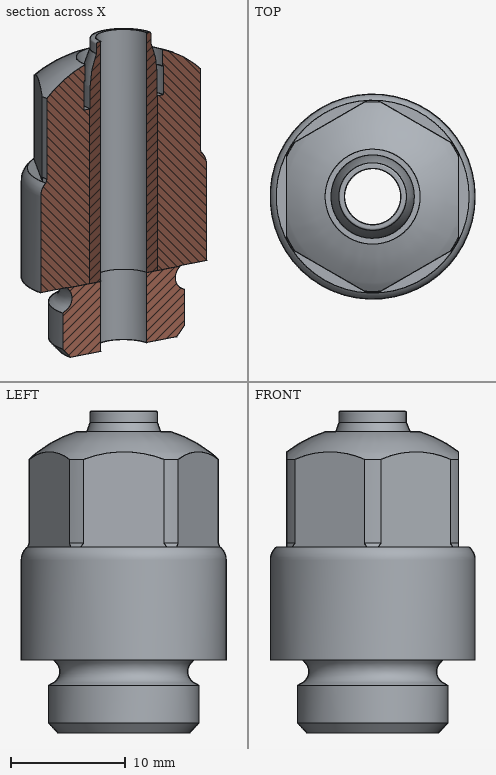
import cadquery as cq
import math


total_height = 28.1
bore_diameter = 4.9
insert_diameter = 7.28
nut_bottom_z = 6.38

plug_diameter = 13.15
plug_base_diameter = 11.46
plug_chamfer_height = 0.9
plug_band_top_z = 4.15
groove_bottom_z = 4.35
groove_bottom_diameter = 12.48
groove_waist_z = 5.3
groove_waist_diameter = 11.18
groove_top_z = 6.15
groove_top_diameter = 11.83
plug_top_diameter = 12.22

collar_diameter = 17.9
collar_round_z = 15.12
collar_top_z = 16.25
collar_top_diameter = 16.83
hex_across_flats = 15.0
hex_corner_diameter = 16.55
corner_flare_height = 0.35
corner_flare_diameter = 16.78
dome_edge_z = 23.88
dome_middle_z = 25.4
dome_middle_diameter = 12.42
nut_top_z = 26.3
recess_diameter = 8.3
recess_lip_z = 24.78
recess_undercut_diameter = 8.51
recess_floor_z = 22.2

tip_diameter = 5.9
taper_start_z = 24.17
tip_start_z = 27.1
tip_round = 0.17


def revolve_about_z(profile):
    """Close a radius-height profile and turn it about the Z axis."""
    return profile.close().revolve(360, (0, 0, 0), (0, 1, 0))


def cylinder(diameter, bottom_z, top_z):
    return cq.Workplane("XY").workplane(offset=bottom_z).circle(diameter / 2).extrude(top_z - bottom_z)


def make_plug():
    """Chamfered band with a round groove above it, ending against the nut."""
    return revolve_about_z(
        cq.Workplane("XZ")
        .moveTo(bore_diameter / 2, 0)
        .lineTo(plug_base_diameter / 2, 0)
        .lineTo(plug_diameter / 2, plug_chamfer_height)
        .lineTo(plug_diameter / 2, plug_band_top_z)
        .lineTo(groove_bottom_diameter / 2, groove_bottom_z)
        .threePointArc((groove_waist_diameter / 2, groove_waist_z), (groove_top_diameter / 2, groove_top_z))
        .lineTo(plug_top_diameter / 2, nut_bottom_z)
        .lineTo(bore_diameter / 2, nut_bottom_z)
    )


def make_collar():
    """Round lower part of the nut with a rounded upper edge."""
    return revolve_about_z(
        cq.Workplane("XZ")
        .moveTo(0, nut_bottom_z)
        .lineTo(collar_diameter / 2, nut_bottom_z)
        .lineTo(collar_diameter / 2, collar_round_z)
        .tangentArcPoint((collar_top_diameter / 2, collar_top_z), relative=False)
        .lineTo(0, collar_top_z)
    )


def make_hexagon():
    """Hexagon with corners toward +Y and -Y, trimmed by a turned, domed envelope."""
    across_corners = hex_across_flats / math.cos(math.pi / 6)
    prism = (
        cq.Workplane("XY")
        .workplane(offset=collar_top_z)
        .transformed(rotate=(0, 0, 30))
        .polygon(6, across_corners)
        .extrude(nut_top_z - collar_top_z)
    )
    envelope = revolve_about_z(
        cq.Workplane("XZ")
        .moveTo(0, collar_top_z)
        .lineTo(corner_flare_diameter / 2, collar_top_z)
        .lineTo(hex_corner_diameter / 2, collar_top_z + corner_flare_height)
        .lineTo(hex_corner_diameter / 2, dome_edge_z)
        .threePointArc((dome_middle_diameter / 2, dome_middle_z), (recess_diameter / 2, nut_top_z))
        .lineTo(0, nut_top_z)
    )
    return prism.intersect(envelope)


def make_recess():
    """Space around the insert: straight mouth, then a small undercut down to a flat floor."""
    mouth = cylinder(recess_diameter, recess_lip_z, nut_top_z)
    undercut = cylinder(recess_undercut_diameter, recess_floor_z, recess_lip_z)
    return mouth.union(undercut)


def make_nut():
    solid_nut = make_collar().union(make_hexagon())
    insert_bore = cylinder(insert_diameter, nut_bottom_z, nut_top_z)
    return solid_nut.cut(insert_bore).cut(make_recess())


def make_insert():
    """Sleeve standing on the plug, curving inward above the recess floor to a short round tip."""
    return revolve_about_z(
        cq.Workplane("XZ")
        .moveTo(bore_diameter / 2, nut_bottom_z)
        .lineTo(insert_diameter / 2, nut_bottom_z)
        .lineTo(insert_diameter / 2, taper_start_z)
        .tangentArcPoint((tip_diameter / 2, tip_start_z), relative=False)
        .lineTo(tip_diameter / 2, total_height - tip_round)
        .tangentArcPoint((tip_diameter / 2 - tip_round, total_height), relative=False)
        .lineTo(bore_diameter / 2, total_height)
    )


plug = make_plug()
nut = make_nut()
insert = make_insert()

result = cq.Compound.makeCompound([plug.val(), nut.val(), insert.val()])